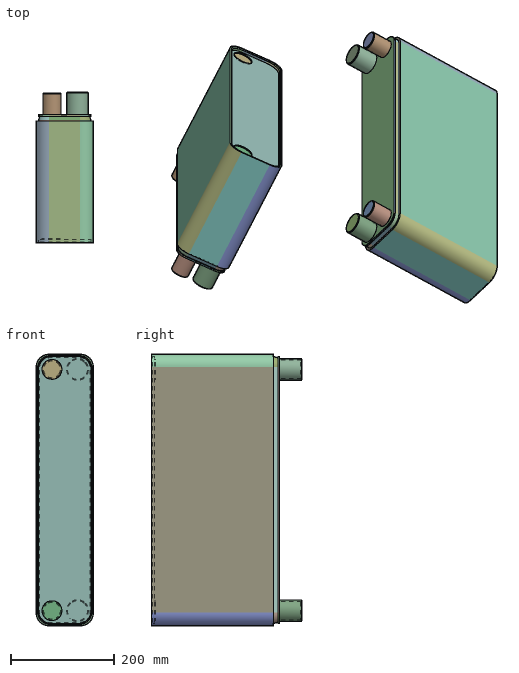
import cadquery as cq

pack_width = 111.0
pack_height = 526.0
pack_depth = 236.0
corner_radius = 25.0

rim_width = 2.5
mouth_chamfer = 1.85
tray_depth = 6.5
tray_corner_radius = 25.0

dimple_diameter = 38.5
dimple_depth = 2.0

end_plate_inset = 4.5
end_plate_foot = 1.5
end_plate_thickness = 9.0
end_plate_draft = 2.0

cover_thickness = 3.0
cover_inset = 4.0

port_x = 24.5
port_z = 233.5
small_diameter = 36.0
large_diameter = 42.0
small_nozzle_end = 290.5
large_nozzle_end = 292.0
nozzle_chamfer = 1.5

end_plate_back = pack_depth + end_plate_thickness
cover_back = end_plate_back + cover_thickness


def rounded_outline(inset, radius):
    """Pack outline moved inwards by an inset, with the given corner radius."""
    outline = cq.Sketch().rect(pack_width - 2 * inset, pack_height - 2 * inset)
    return outline.vertices().fillet(radius)


def plane_at(y):
    """XZ workplane at depth y; its normal is -Y, so bodies extrude backwards by negative lengths."""
    return cq.Workplane("XZ", origin=(0, y, 0))


def straight_slab(y_start, y_end, outline):
    return plane_at(y_start).placeSketch(outline).extrude(y_start - y_end)


def tapered_slab(y_start, y_end, start_outline, end_outline):
    end_offset = cq.Location(cq.Vector(0, 0, y_start - y_end))
    return plane_at(y_start).placeSketch(start_outline, end_outline.moved(end_offset)).loft()


def cylinder_along_y(x, z, y_start, y_end, diameter):
    return plane_at(y_start).center(x, z).circle(diameter / 2).extrude(y_start - y_end)


def make_pack():
    pack = straight_slab(0, pack_depth, rounded_outline(0, corner_radius))
    mouth_outline = rounded_outline(rim_width, tray_corner_radius)
    floor_outline = rounded_outline(rim_width + mouth_chamfer, tray_corner_radius)
    pack = pack.cut(tapered_slab(0, mouth_chamfer, mouth_outline, floor_outline))
    pack = pack.cut(straight_slab(mouth_chamfer, tray_depth, floor_outline))
    dimple_floor = tray_depth + dimple_depth
    for z in (port_z, -port_z):
        pack = pack.cut(cylinder_along_y(-port_x, z, tray_depth, dimple_floor, dimple_diameter))
    return pack


def make_end_plate():
    foot_outline = rounded_outline(end_plate_inset, corner_radius - end_plate_inset)
    back_inset = end_plate_inset + end_plate_draft
    back_outline = rounded_outline(back_inset, corner_radius - back_inset)
    foot_end = pack_depth + end_plate_foot
    foot = straight_slab(pack_depth, foot_end, foot_outline)
    return foot.union(tapered_slab(foot_end, end_plate_back, foot_outline, back_outline))


def make_cover_plate():
    outline = rounded_outline(cover_inset, corner_radius - cover_inset)
    return straight_slab(end_plate_back, cover_back, outline)


def make_nozzle(x, z, y_end, diameter):
    nozzle = cylinder_along_y(x, z, cover_back, y_end, diameter)
    return nozzle.faces(">Y").chamfer(nozzle_chamfer)


pack = make_pack()
end_plate = make_end_plate()
cover_plate = make_cover_plate()

nozzles = []
for nozzle_z in (port_z, -port_z):
    nozzles.append(make_nozzle(-port_x, nozzle_z, small_nozzle_end, small_diameter).val())
    nozzles.append(make_nozzle(port_x, nozzle_z, large_nozzle_end, large_diameter).val())

result = cq.Compound.makeCompound([pack.val(), end_plate.val(), cover_plate.val(), *nozzles])